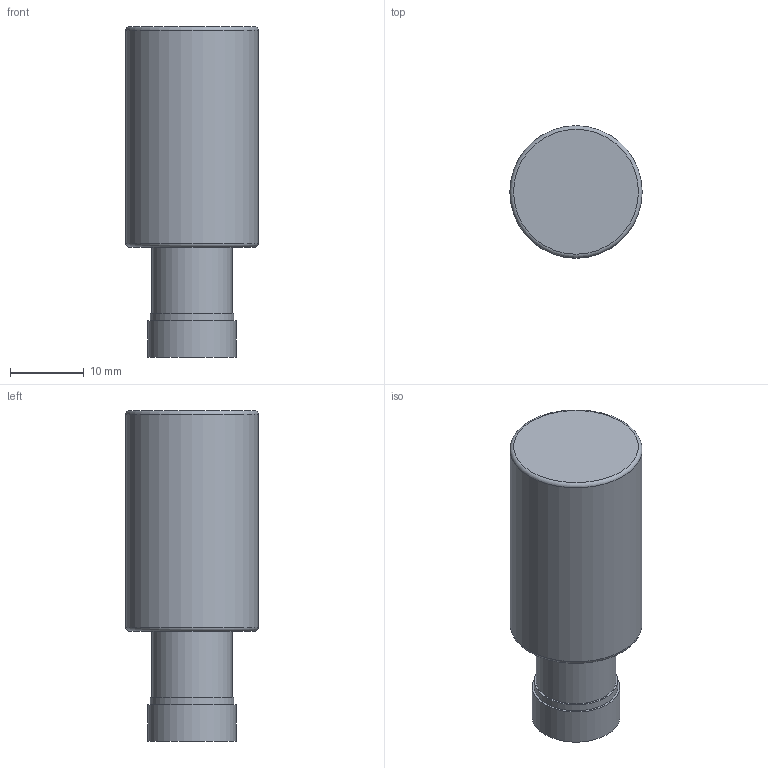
import cadquery as cq

body_diameter = 18.0
body_height = 30.0
body_edge_radius = 0.5

neck_diameter = 10.9
neck_height = 9.0

collar_diameter = 11.4
collar_height = 1.0

foot_diameter = 12.0
foot_height = 5.0

collar_base = foot_height
neck_base = collar_base + collar_height
body_base = neck_base + neck_height


def cylinder(diameter, height, base):
    """Solid cylinder on the Z axis, rising from the level `base`."""
    return cq.Workplane("XY").workplane(offset=base).circle(diameter / 2).extrude(height)


def rounded_body():
    """Large cylindrical body with both rims rounded."""
    body = cylinder(body_diameter, body_height, body_base)
    return body.faces("|Z").edges().fillet(body_edge_radius)


foot = cylinder(foot_diameter, foot_height, 0)
collar = cylinder(collar_diameter, collar_height, collar_base)
neck = cylinder(neck_diameter, neck_height, neck_base)

result = foot.union(collar).union(neck).union(rounded_body())